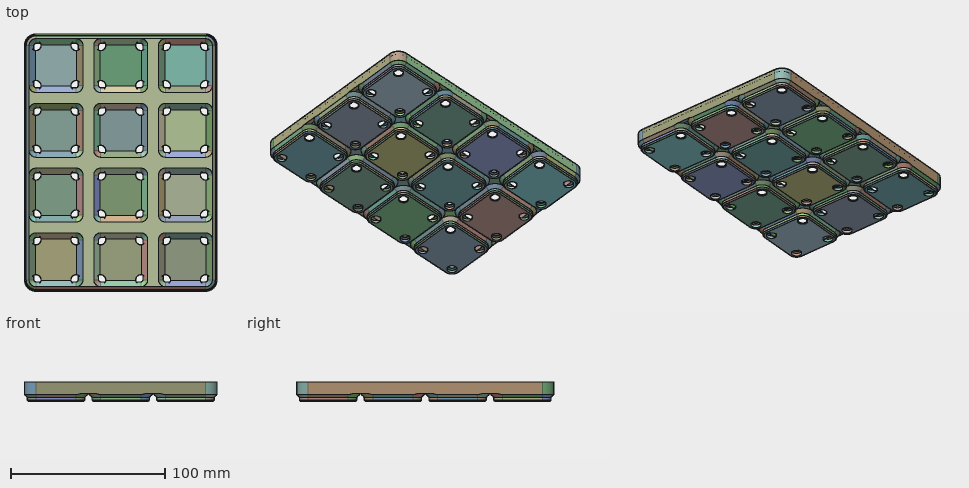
import cadquery as cq
import math

columns = 3
rows = 4
length = 167.0
side_gap = 0.5
pitch = (length + 2 * side_gap) / rows
width = columns * pitch - 2 * side_gap
height = 12.7

foot_chamfer = 0.8
foot_straight = 1.8
foot_flare = 2.3
flare_angle = 45
plate_bottom = foot_chamfer + foot_straight + foot_flare
cell_radius = 8.0
outer_radius = cell_radius - side_gap

plate_top = 5.7
wall = 3.0
lip = 0.8
groove_floor = 0.3
groove_depth = 2.2

pocket_floor = 1.0
mouth_step = 0.5
pocket_radius = outer_radius - wall
mouth_side = pitch - 2 * (side_gap + wall)

hole_diameter = 6.5
hole_depth = 2.0
hole_spacing = 26.0

cell_centers = [
    ((column - (columns - 1) / 2) * pitch, (row - (rows - 1) / 2) * pitch)
    for column in range(columns)
    for row in range(rows)
]


def rounded_block(size_x, size_y, radius, bottom, top):
    block = cq.Workplane("XY", origin=(0, 0, bottom)).rect(size_x, size_y).extrude(top - bottom)
    return block.edges("|Z").fillet(radius)


def inset_block(inset, bottom, top):
    """Block that follows the outer outline at a constant distance inside it."""
    return rounded_block(width - 2 * inset, length - 2 * inset, outer_radius - inset, bottom, top)


def make_foot():
    flare_bottom = foot_chamfer + foot_straight
    stem_side = pitch - 2 * foot_flare
    stem = rounded_block(stem_side, stem_side, cell_radius - foot_flare, 0, flare_bottom)
    stem = stem.faces("<Z").chamfer(foot_chamfer)
    flare = (
        cq.Workplane("XY", origin=(0, 0, flare_bottom))
        .sketch()
        .rect(stem_side, stem_side)
        .vertices()
        .fillet(cell_radius - foot_flare)
        .finalize()
        .extrude(foot_flare, taper=-flare_angle)
    )
    return stem.union(flare)


def make_pocket():
    pocket = rounded_block(mouth_side, mouth_side, pocket_radius, pocket_floor, plate_top)
    return pocket.faces("<Z").chamfer(plate_top - mouth_step - pocket_floor)


def make_holes():
    corners = cq.Workplane("XY").rect(hole_spacing, hole_spacing, forConstruction=True).vertices()
    return corners.circle(hole_diameter / 2).extrude(hole_depth)


def make_rim_groove():
    """Groove with an upright outer side and a sloping inner side."""
    groove_bottom = height - groove_depth
    ridge_inset = lip + groove_floor
    ridge_run = wall - ridge_inset
    angle = math.degrees(math.atan2(ridge_run, groove_depth))
    ridge = (
        cq.Workplane("XY", origin=(0, 0, groove_bottom))
        .sketch()
        .rect(width - 2 * ridge_inset, length - 2 * ridge_inset)
        .vertices()
        .fillet(outer_radius - ridge_inset)
        .finalize()
        .extrude(groove_depth, taper=angle)
    )
    return inset_block(lip, groove_bottom, height).cut(ridge)


foot = make_foot()
feet = cq.Workplane("XY")
for x, y in cell_centers:
    feet = feet.union(foot.translate((x, y, 0)))

tray = feet.intersect(inset_block(0, 0, plate_bottom))
tray = tray.union(inset_block(0, plate_bottom, height))
tray = tray.cut(inset_block(wall, plate_top, height))
tray = tray.cut(make_rim_groove())

cell_cut = make_pocket().union(make_holes())
for x, y in cell_centers:
    tray = tray.cut(cell_cut.translate((x, y, 0)))

result = tray